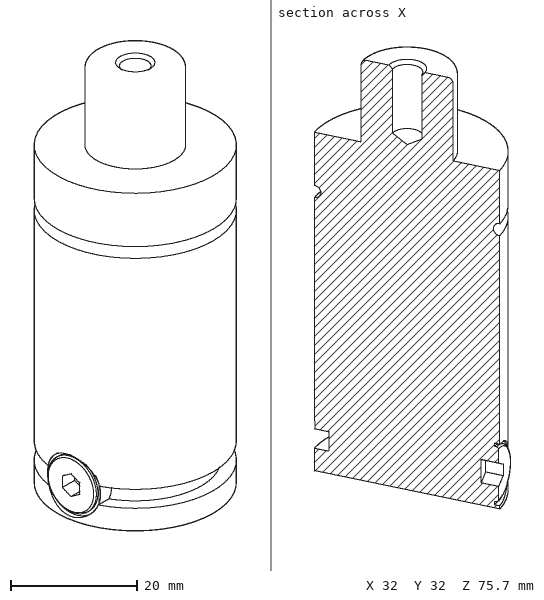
import cadquery as cq
import math

total_height = 75.7
body_diameter = 32.0
body_radius = body_diameter / 2
body_height = 60.9
rod_diameter = 16.0
rod_edge_radius = 1.0

rod_hole_diameter = 5.0
rod_hole_depth = 12.1
rod_hole_chamfer = 0.6
drill_tip_angle = 118.0

ring_groove_height = 50.2
ring_groove_radius = 1.05

mount_groove_bottom = 4.1
mount_groove_top = 7.5
mount_groove_diameter = 27.1

port_height = 6.1
port_boss_diameter = 11.0
plug_diameter = 10.0
plug_face_offset = 15.8
plug_chamfer = 0.3
spotface_offset = 15.15
hex_across_flats = 3.55
hex_depth = 3.0


def port_cylinder(diameter, inner_offset, outer_offset):
    """Cylinder along -Y on the port axis, between two distances from the body axis."""
    return (
        cq.Workplane("XZ", origin=(0, -inner_offset, port_height))
        .circle(diameter / 2)
        .extrude(outer_offset - inner_offset)
    )


def make_body():
    body = cq.Workplane("XY").circle(body_radius).extrude(body_height)
    ring_groove = (
        cq.Workplane("XZ")
        .center(body_radius, ring_groove_height)
        .circle(ring_groove_radius)
        .revolve(360, (-body_radius, 0), (-body_radius, 1))
    )
    mount_groove = (
        cq.Workplane("XY", origin=(0, 0, mount_groove_bottom))
        .circle(body_radius)
        .circle(mount_groove_diameter / 2)
        .extrude(mount_groove_top - mount_groove_bottom)
    )
    mount_groove = mount_groove.cut(port_cylinder(port_boss_diameter, 0, body_radius))
    return body.cut(ring_groove).cut(mount_groove)


def make_rod():
    return (
        cq.Workplane("XY", origin=(0, 0, body_height))
        .circle(rod_diameter / 2)
        .extrude(total_height - body_height)
        .faces(">Z")
        .edges()
        .fillet(rod_edge_radius)
    )


def make_rod_hole():
    """Drilled hole with a conical tip and a 45 degree entry chamfer."""
    radius = rod_hole_diameter / 2
    floor = total_height - rod_hole_depth
    tip = floor - radius / math.tan(math.radians(drill_tip_angle / 2))
    return (
        cq.Workplane("XZ")
        .moveTo(0, tip)
        .lineTo(radius, floor)
        .lineTo(radius, total_height - rod_hole_chamfer)
        .lineTo(radius + rod_hole_chamfer, total_height)
        .lineTo(0, total_height)
        .close()
        .revolve(360, (0, 0), (0, 1))
    )


def make_plug():
    """Round plug head standing on the spotface floor, with a chamfered rim."""
    return (
        port_cylinder(plug_diameter, spotface_offset, plug_face_offset)
        .faces("<Y")
        .edges()
        .chamfer(plug_chamfer)
    )


def make_hex_socket():
    """Hexagonal socket with corners pointing up and down."""
    across_corners = hex_across_flats / math.cos(math.radians(30))
    return (
        cq.Workplane("XZ", origin=(0, -plug_face_offset + hex_depth, port_height))
        .transformed(rotate=(0, 0, 90))
        .polygon(6, across_corners)
        .extrude(hex_depth)
    )


spotface = port_cylinder(port_boss_diameter, spotface_offset, body_radius)
result = (
    make_body()
    .union(make_rod())
    .cut(make_rod_hole())
    .cut(spotface)
    .union(make_plug())
    .cut(make_hex_socket())
)